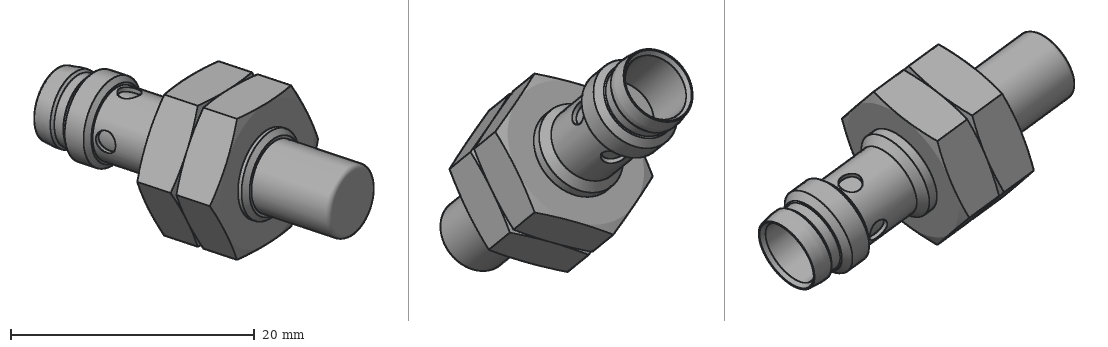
import cadquery as cq
import math

TOTAL_LENGTH = 30.0
BODY_RADIUS = 6.6 / 2
COLLAR_RADIUS = 8.0 / 2
NECK_RADIUS = 6.48 / 2
SHOULDER_RADIUS = 3.5
LIP_RADIUS = 6.93 / 2

LIP_START = 1.2
LIP_END = 1.77
NECK_START = 2.0

COLLAR_START = 2.97
COLLAR_FACE_SLOPE = 0.05
COLLAR_FRONT_RADIUS = 3.4
COLLAR_FRONT_CHAMFER = COLLAR_RADIUS - COLLAR_FRONT_RADIUS
COLLAR_END = 5.97
COLLAR_REAR_CHAMFER = 0.42

THREAD_START = 11.67
THREAD_FRONT_CHAMFER = 0.75
THREAD_END = 22.08
THREAD_REAR_CHAMFER = 0.45
REAR_FILLET = 0.45

BORE_RADIUS = 5.8 / 2
BORE_DEPTH = 5.55
MOUTH_RADIUS = 6.35 / 2
MOUTH_CHAMFER = 0.4

RECESS_RADIUS = 2.0 / 2
RECESS_X = 7.3
RECESS_FLOOR_RADIUS = BORE_RADIUS
RECESS_COUNT = 4

NUT_START = 13.3
NUT_THICKNESS = 4.0
NUT_COUNT = 2
NUT_FLATS = 13.0
NUT_CORNERS = NUT_FLATS / math.cos(math.radians(30))
NUT_CHAMFER_ANGLE = 16.0


def revolve_about_x(points):
    """Turn a closed (x, radius) outline about the X axis."""
    return cq.Workplane("XY").polyline(points).close().revolve(360, (0, 0, 0), (1, 0, 0))


def x_cylinder(start, length, radius):
    return cq.Workplane("YZ", origin=(start, 0, 0)).circle(radius).extrude(length)


def make_outer_shape():
    chamfer_start = COLLAR_START + COLLAR_FACE_SLOPE
    shape = revolve_about_x([
        (0, 0),
        (0, BODY_RADIUS),
        (LIP_START, LIP_RADIUS),
        (LIP_END, LIP_RADIUS),
        (NECK_START, NECK_RADIUS),
        (COLLAR_START, NECK_RADIUS),
        (chamfer_start, COLLAR_FRONT_RADIUS),
        (chamfer_start + COLLAR_FRONT_CHAMFER, COLLAR_RADIUS),
        (COLLAR_END - COLLAR_REAR_CHAMFER, COLLAR_RADIUS),
        (COLLAR_END, SHOULDER_RADIUS),
        (COLLAR_END, BODY_RADIUS),
        (THREAD_START, BODY_RADIUS),
        (THREAD_START + THREAD_FRONT_CHAMFER, COLLAR_RADIUS),
        (THREAD_END - THREAD_REAR_CHAMFER, COLLAR_RADIUS),
        (THREAD_END, SHOULDER_RADIUS),
        (THREAD_END, NECK_RADIUS),
        (TOTAL_LENGTH, NECK_RADIUS),
        (TOTAL_LENGTH, 0),
    ])
    return shape.faces(">X").edges().fillet(REAR_FILLET)


def make_socket():
    """Blind bore with a chamfered mouth."""
    return revolve_about_x([
        (0, 0),
        (0, MOUTH_RADIUS),
        (MOUTH_CHAMFER, BORE_RADIUS),
        (BORE_DEPTH, BORE_RADIUS),
        (BORE_DEPTH, 0),
    ])


def make_recess(angle):
    """Radial recess whose floor is a cylinder coaxial with the sleeve."""
    drill = cq.Workplane("XY", origin=(RECESS_X, 0, 0)).circle(RECESS_RADIUS).extrude(COLLAR_RADIUS)
    core = x_cylinder(RECESS_X - RECESS_RADIUS, 2 * RECESS_RADIUS, RECESS_FLOOR_RADIUS)
    return drill.cut(core).rotate((0, 0, 0), (1, 0, 0), angle)


def make_sleeve():
    sleeve = make_outer_shape().cut(make_socket())
    for index in range(RECESS_COUNT):
        sleeve = sleeve.cut(make_recess(index * 360 / RECESS_COUNT))
    return sleeve


def make_nut(start):
    """Hexagonal nut with two flats facing Z and its corners chamfered on both faces."""
    hexagon = cq.Workplane("YZ", origin=(start, 0, 0)).polygon(6, NUT_CORNERS).extrude(NUT_THICKNESS)
    face_radius = NUT_FLATS / 2
    bulge = NUT_THICKNESS / 2 / math.tan(math.radians(NUT_CHAMFER_ANGLE))
    chamfer_cones = revolve_about_x([
        (start, 0),
        (start, face_radius),
        (start + NUT_THICKNESS / 2, face_radius + bulge),
        (start + NUT_THICKNESS, face_radius),
        (start + NUT_THICKNESS, 0),
    ])
    hole = x_cylinder(start, NUT_THICKNESS, COLLAR_RADIUS)
    return hexagon.intersect(chamfer_cones).cut(hole)


sleeve = make_sleeve()
nuts = [make_nut(NUT_START + index * NUT_THICKNESS) for index in range(NUT_COUNT)]

result = cq.Compound.makeCompound([sleeve.val(), *[nut.val() for nut in nuts]])